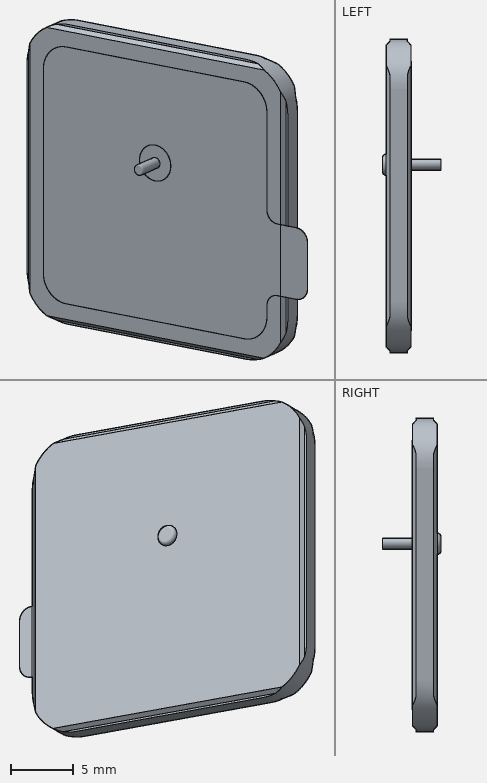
import cadquery as cq

overall_width = 27.21
overall_depth = 4.7

plate_side = 25.1
plate_thickness = 2.0
corner_radius = 4.0

edge_step = 0.17
bevel_run = 0.32
bevel_rise = 0.3

foil_thickness = 0.02
foil_side = 21.5
foil_corner_radius = 2.2
tab_end_x = overall_width - plate_side / 2
tab_height = 6.0
tab_center_z = -3.6
tab_tip_radius = 1.1
tab_root_radius = 1.0
clearance_diameter = 3.0

pin_z = 2.5
pin_diameter = 0.9
pin_tip_fillet = 0.1
head_diameter = 1.7
head_height = 0.3
head_fillet = 0.29

plate_front_y = 0.0
plate_back_y = plate_front_y + plate_thickness
head_top_y = plate_back_y + head_height
pin_tip_y = head_top_y - overall_depth


def plane_at(y):
    """XZ sketch plane at the given Y, extruding toward +Y, with local axes (X, -Z)."""
    return cq.Workplane(cq.Plane(origin=(0, y, 0), xDir=(1, 0, 0), normal=(0, 1, 0)))


def pin_disc(y, diameter, length):
    """Cylinder on the pin axis, starting at the given Y and running toward +Y."""
    return plane_at(y).center(0, -pin_z).circle(diameter / 2).extrude(length)


def edge_relieved_block():
    """Square block whose four straight edges are stepped and bevelled on both faces."""
    stepped_side = plate_side - 2 * edge_step
    rim_thickness = plate_thickness - 2 * bevel_rise
    core = plane_at(plate_front_y).rect(stepped_side, stepped_side).extrude(plate_thickness)
    bevel_edges = core.faces("<Y or >Y").edges()
    core = bevel_edges.chamfer(bevel_rise, bevel_run)
    rim = plane_at(plate_front_y + bevel_rise).rect(plate_side, plate_side).extrude(rim_thickness)
    return core.union(rim)


def make_plate():
    """Edge-relieved block trimmed by a prism with rounded corners."""
    prism = plane_at(plate_front_y).rect(plate_side, plate_side).extrude(plate_thickness)
    prism = prism.edges("|Y").fillet(corner_radius)
    return edge_relieved_block().intersect(prism)


def make_foil():
    """Rounded square foil with its tab and the clearance hole around the pin."""
    foil_y = plate_front_y - foil_thickness
    sheet = plane_at(foil_y).rect(foil_side, foil_side).extrude(foil_thickness)
    sheet = sheet.edges("|Y").fillet(foil_corner_radius)
    tab = (
        plane_at(foil_y)
        .center(tab_end_x / 2, -tab_center_z)
        .rect(tab_end_x, tab_height)
        .extrude(foil_thickness)
        .edges("|Y and >X")
        .fillet(tab_tip_radius)
    )
    foil = sheet.union(tab)
    for side in (-1, 1):
        root = (foil_side / 2, plate_front_y, tab_center_z + side * tab_height / 2)
        foil = foil.edges(cq.selectors.NearestToPointSelector(root)).fillet(tab_root_radius)
    clearance = pin_disc(foil_y, clearance_diameter, foil_thickness)
    return foil.cut(clearance)


def make_pin():
    """Pin with a rounded tip and a rounded head."""
    shank = pin_disc(pin_tip_y, pin_diameter, plate_back_y - pin_tip_y)
    shank = shank.faces("<Y").edges().fillet(pin_tip_fillet)
    head = pin_disc(plate_back_y, head_diameter, head_height)
    head = head.faces(">Y").edges().fillet(head_fillet)
    return shank.union(head)


result = make_plate().union(make_foil()).union(make_pin())